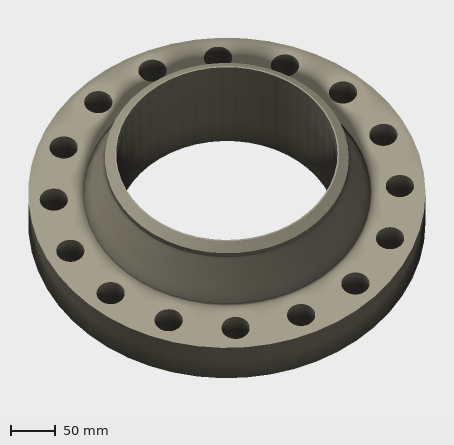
import cadquery as cq
import math

flange_diameter = 444.5
flange_thickness = 54.0
face_diameter = 355.5
face_height = 7.5

overall_height = 132.0
hub_diameter = 321.0
hub_fillet_height = 2.0
hub_base_diameter = 325.5
neck_diameter = 273.0
neck_length = 7.0
bevel_height = 8.0
weld_end_diameter = 251.0
bore_diameter = 247.5

bolt_count = 16
bolt_hole_diameter = 31.5
bolt_circle_diameter = 387.5

flange_top = face_height + flange_thickness
hub_bottom = flange_top + hub_fillet_height
bevel_bottom = overall_height - bevel_height
neck_bottom = bevel_bottom - neck_length


def hub_fillet_midpoint():
    """Point halfway round the concave arc that meets the flange tangentially."""
    start_x, start_z = hub_base_diameter / 2, flange_top
    end_x, end_z = hub_diameter / 2, hub_bottom
    run = start_x - end_x
    rise = end_z - start_z
    radius = (run**2 + rise**2) / (2 * rise)
    half_sweep = math.atan2(rise, run)
    return (
        start_x - radius * math.sin(half_sweep),
        start_z + radius * (1 - math.cos(half_sweep)),
    )


def flange_body():
    """Half section in the XZ plane, revolved about Z."""
    section = (
        cq.Workplane("XZ")
        .moveTo(bore_diameter / 2, 0)
        .lineTo(face_diameter / 2, 0)
        .lineTo(face_diameter / 2, face_height)
        .lineTo(flange_diameter / 2, face_height)
        .lineTo(flange_diameter / 2, flange_top)
        .lineTo(hub_base_diameter / 2, flange_top)
        .threePointArc(hub_fillet_midpoint(), (hub_diameter / 2, hub_bottom))
        .lineTo(neck_diameter / 2, neck_bottom)
        .lineTo(neck_diameter / 2, bevel_bottom)
        .lineTo(weld_end_diameter / 2, overall_height)
        .lineTo(bore_diameter / 2, overall_height)
        .close()
    )
    return section.revolve(360, (0, 0, 0), (0, 1, 0))


def bolt_holes():
    """Ring of through-hole cutters."""
    return (
        cq.Workplane("XY")
        .polarArray(bolt_circle_diameter / 2, 0, 360, bolt_count)
        .circle(bolt_hole_diameter / 2)
        .extrude(flange_top)
    )


result = flange_body().cut(bolt_holes())